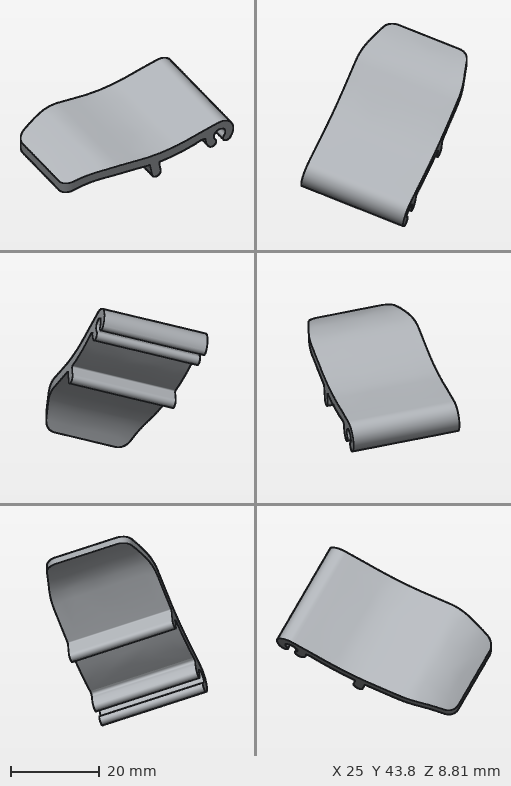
import cadquery as cq
import math

length = 43.75
width = 25.0

hook_outer_radius = 3.7
hook_inner_radius = 1.55
hook_z = 4.25
hook_y = length - hook_outer_radius
hook_tip_angle = 41.0
hook_mid_radius = (hook_outer_radius + hook_inner_radius) / 2
hook_tip_radius = (hook_outer_radius - hook_inner_radius) / 2

rib_tip_y = 22.95
rib_radius = 1.2
rib_lean = 10.0
rib_root_z = 4.02
rib_root_height = 4.38

hook_corner_radius = 0.65
rib_corner_radius = 0.35

taper_start_y = 10.05
taper_angle = 16.0
shoulder_radius = 18.8
nose_corner_radius = 2.98

hook_crown = (hook_y, hook_z + hook_outer_radius)
upper_curve = [
    (36.25, 7.55), (32.1, 7.0), (26.45, 6.6), (22.15, 6.82), (17.15, 7.65),
    (13.0, 8.5), (8.9, 8.8), (5.55, 8.4), (0, 6.45),
]
lower_curve = [
    (0, 3.65), (2.25, 4.75), (5.55, 5.9), (8.9, 6.35), (13.82, 5.78),
    (18.0, 5.05), (23.98, rib_root_z), (27.95, 4.0), (31.3, 4.25), (35.2, 4.95),
]
plate_root = (hook_y - hook_mid_radius, lower_curve[-1][1])


def extrude_across(sketch):
    """Extrude a Y-Z outline over the full width, centred on X = 0."""
    return sketch.extrude(width).translate((-width / 2, 0, 0))


def cylinder_across(y, z, radius):
    return extrude_across(cq.Workplane("YZ").center(y, z).circle(radius))


def make_plate():
    outline = (
        cq.Workplane("YZ")
        .moveTo(*hook_crown)
        .spline(upper_curve, includeCurrent=True)
        .lineTo(*lower_curve[0])
        .spline(lower_curve[1:], includeCurrent=True)
        .lineTo(*plate_root)
        .close()
    )
    return extrude_across(outline)


def make_hook():
    """Ring opened downwards, with both arms ending in round tips."""
    angle = math.radians(hook_tip_angle)
    ring = extrude_across(
        cq.Workplane("YZ").center(hook_y, hook_z).circle(hook_outer_radius).circle(hook_inner_radius)
    )
    reach = 2 * hook_outer_radius
    mouth_half = reach * math.cos(angle)
    mouth_drop = reach * math.sin(angle)
    mouth = extrude_across(
        cq.Workplane("YZ")
        .center(hook_y, hook_z)
        .polyline([(0, 0), (-mouth_half, -mouth_drop), (mouth_half, -mouth_drop)])
        .close()
    )
    hook = ring.cut(mouth)
    tip_z = hook_z - hook_mid_radius * math.sin(angle)
    for side in (-1, 1):
        tip_y = hook_y + side * hook_mid_radius * math.cos(angle)
        hook = hook.union(cylinder_across(tip_y, tip_z, hook_tip_radius))
    return hook


def make_rib():
    blade = extrude_across(cq.Workplane("YZ").rect(2 * rib_radius, rib_root_height))
    blade = (
        blade.translate((0, 0, rib_root_height / 2))
        .rotate((0, 0, 0), (1, 0, 0), rib_lean)
        .translate((0, rib_tip_y, rib_radius))
    )
    return blade.union(cylinder_across(rib_tip_y, rib_radius, rib_radius))


def round_inside_corner(body, y, z, radius):
    """Fillet the full-width edge nearest to the given place."""
    return body.edges(cq.NearestToPointSelector((0, y, z))).fillet(radius)


def make_plan():
    """Prism with the tapered, rounded plan outline that trims the nose."""
    half_width = width / 2
    nose_half_width = half_width - taper_start_y * math.tan(math.radians(taper_angle))
    plan = (
        cq.Workplane("XY")
        .polyline([
            (-half_width, length), (-half_width, taper_start_y), (-nose_half_width, 0),
            (nose_half_width, 0), (half_width, taper_start_y), (half_width, length),
        ])
        .close()
        .extrude(length)
    )
    for x, y, radius in (
        (half_width, taper_start_y, shoulder_radius),
        (nose_half_width, 0, nose_corner_radius),
    ):
        for side in (-1, 1):
            corner = cq.NearestToPointSelector((side * x, y, length / 2))
            plan = plan.edges("|Z").edges(corner).fillet(radius)
    return plan


body = make_plate().union(make_hook()).union(make_rib())
body = round_inside_corner(body, hook_y - hook_outer_radius, lower_curve[-1][1], hook_corner_radius)
rib_half_root = rib_radius / math.cos(math.radians(rib_lean))
rib_root_y = rib_tip_y - (rib_root_z - rib_radius) * math.tan(math.radians(rib_lean))
for side in (-1, 1):
    body = round_inside_corner(
        body, rib_root_y + side * rib_half_root, rib_root_z, rib_corner_radius
    )
result = body.intersect(make_plan())